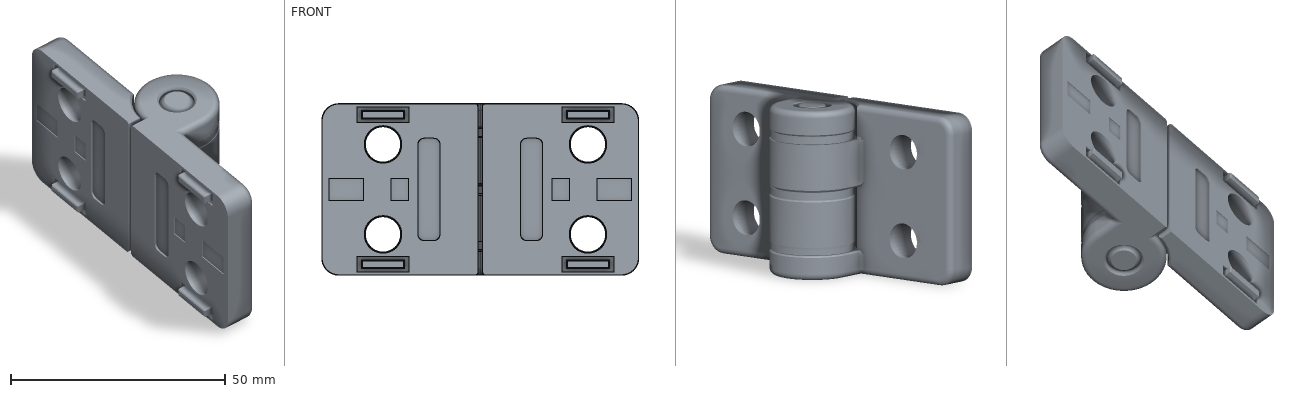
import cadquery as cq
import math

LENGTH = 74.0
HEIGHT = 40.0
HALF_HEIGHT = HEIGHT / 2

PLATE_THICKNESS = 8.0
LEAF_GAP = 1.0
PLATE_CORNER_RADIUS = 4.0
EDGE_ROUND = 1.5
GAP_CORNER_CHAMFER = 0.45

KNUCKLE_RADIUS = 10.0
MOUNT_Y = -14.0
BACK_Y = MOUNT_Y + PLATE_THICKNESS
KNUCKLE_LENGTH = 11.2
KNUCKLE_GAP = 2.0
KNUCKLE_CHAMFER = 0.4
WALL_FILLET = 0.95
END_FOOT_CHAMFER = 0.5
RECESS_RADIUS = 10.5
RECESS_CHAMFER = 0.5

PIN_RADIUS = 4.0
PIN_END_CHAMFER = 1.0
BORE_RADIUS = 4.15
BORE_CHAMFER = 0.5
WASHER_RADIUS = 9.8
WASHER_THICKNESS = 1.85

LEFT_FIXING_DISTANCE = 22.7
RIGHT_FIXING_DISTANCE = 25.15
HOLE_Z = 10.5
HOLE_FRONT_RADIUS = 4.4
HOLE_BACK_RADIUS = 4.15
TAB_Z = 17.5
TAB_LENGTH = 10.1
TAB_WIDTH = 1.9
TAB_HEIGHT = 1.55
TAB_CHAMFER = 0.2
TAB_POCKET_LENGTH = 12.05
TAB_POCKET_WIDTH = 3.6
TAB_POCKET_DEPTH = 1.0

SLOT_X = 12.0
SLOT_WIDTH = 5.2
SLOT_LENGTH = 23.9
SLOT_CORNER_RADIUS = 1.5
SLOT_DEPTH = 0.5
WINDOW_HEIGHT = 5.2
WINDOW_DEPTH = 0.2
SMALL_WINDOW_X = 18.8
SMALL_WINDOW_WIDTH = 4.1
LARGE_WINDOW_X = 31.3
LARGE_WINDOW_WIDTH = 8.1

MIDDLE_KNUCKLE_TOP = -KNUCKLE_GAP / 2
MIDDLE_KNUCKLE_BOTTOM = MIDDLE_KNUCKLE_TOP - KNUCKLE_LENGTH
END_KNUCKLE_BOTTOM = -MIDDLE_KNUCKLE_BOTTOM + KNUCKLE_GAP

PICK_MARGIN = 0.1


def cylinder(radius, bottom, top):
    """Cylinder on the hinge axis."""
    return cq.Workplane("XY").workplane(offset=bottom).circle(radius).extrude(top - bottom)


def mount_block(x, z, width, height, y_start, y_end):
    """Rectangular block centred at (x, z) that spans y_start to y_end."""
    depth = y_end - y_start
    return cq.Workplane("XY").box(width, depth, height).translate((x, y_start + depth / 2, z))


def plate():
    """Plate of the right leaf with its rounded edges."""
    inner_x = LEAF_GAP / 2
    width = LENGTH / 2 - inner_x
    body = mount_block(inner_x + width / 2, 0, width, HEIGHT, MOUNT_Y, BACK_Y)
    body = body.edges("|Y and >X").fillet(PLATE_CORNER_RADIUS)
    body = body.edges("|Y and <X").chamfer(GAP_CORNER_CHAMFER)
    past_gap_x = inner_x + 2 * GAP_CORNER_CHAMFER
    outer_side = cq.selectors.BoxSelector(
        (past_gap_x, BACK_Y - PICK_MARGIN, -HEIGHT),
        (LENGTH, BACK_Y + PICK_MARGIN, HEIGHT),
    )
    return body.edges(outer_side).fillet(EDGE_ROUND)


def knuckle(bottom, top):
    """Barrel with one flat side wall that runs down into the plate."""
    arc_middle = KNUCKLE_RADIUS / math.sqrt(2)
    return (
        cq.Workplane("XY")
        .workplane(offset=bottom)
        .moveTo(KNUCKLE_RADIUS, 0)
        .threePointArc((-arc_middle, arc_middle), (0, -KNUCKLE_RADIUS))
        .lineTo(KNUCKLE_RADIUS, -KNUCKLE_RADIUS)
        .close()
        .extrude(top - bottom)
    )


def cone(lower_radius, upper_radius, bottom, top):
    """Cone frustum on the hinge axis."""
    lower_circle = cq.Workplane("XY").workplane(offset=bottom).circle(lower_radius)
    return lower_circle.workplane(offset=top - bottom).circle(upper_radius).loft(ruled=True)


def knuckle_recesses():
    """Clearance for the knuckles of the other leaf and the washers, flared at the open bottom end."""
    middle_recess = cylinder(RECESS_RADIUS, MIDDLE_KNUCKLE_TOP, END_KNUCKLE_BOTTOM)
    end_recess = cylinder(RECESS_RADIUS, -HALF_HEIGHT, MIDDLE_KNUCKLE_BOTTOM)
    flare_radius = RECESS_RADIUS + RECESS_CHAMFER
    flare = cone(flare_radius, RECESS_RADIUS, -HALF_HEIGHT, -HALF_HEIGHT + RECESS_CHAMFER)
    return middle_recess.union(end_recess.union(flare))


def with_knuckles(body):
    """Add both knuckles and the fillets and foot where they meet the plate."""
    end_knuckle = knuckle(END_KNUCKLE_BOTTOM, HALF_HEIGHT)
    end_knuckle = end_knuckle.faces(">Z").edges().fillet(EDGE_ROUND)
    end_knuckle = end_knuckle.faces("<Z").edges().chamfer(KNUCKLE_CHAMFER)
    middle_knuckle = knuckle(MIDDLE_KNUCKLE_BOTTOM, MIDDLE_KNUCKLE_TOP)
    middle_knuckle = middle_knuckle.faces(">Z").edges().chamfer(KNUCKLE_CHAMFER)
    body = body.union(end_knuckle).union(middle_knuckle)
    wall_foot = cq.selectors.BoxSelector(
        (KNUCKLE_RADIUS - PICK_MARGIN, BACK_Y - PICK_MARGIN, -HEIGHT),
        (KNUCKLE_RADIUS + PICK_MARGIN, BACK_Y + PICK_MARGIN, HEIGHT),
    )
    body = body.edges(wall_foot).edges("|Z").fillet(WALL_FILLET)
    return body.union(end_foot_wedge())


def pin_bore():
    """Bore for the pin, countersunk at the outer end of the end knuckle."""
    bore = cylinder(BORE_RADIUS, -HALF_HEIGHT, HALF_HEIGHT)
    mouth_radius = BORE_RADIUS + BORE_CHAMFER
    return bore.union(cone(BORE_RADIUS, mouth_radius, HALF_HEIGHT - BORE_CHAMFER, HALF_HEIGHT))


def end_foot_wedge():
    """Sloped foot where the lower end face of the middle knuckle meets the back of the plate."""
    wedge = (
        cq.Workplane("YZ")
        .moveTo(BACK_Y, MIDDLE_KNUCKLE_BOTTOM)
        .lineTo(BACK_Y + END_FOOT_CHAMFER, MIDDLE_KNUCKLE_BOTTOM)
        .lineTo(BACK_Y, MIDDLE_KNUCKLE_BOTTOM - END_FOOT_CHAMFER)
        .close()
        .extrude(KNUCKLE_RADIUS)
    )
    return wedge.cut(cylinder(RECESS_RADIUS, -HALF_HEIGHT, MIDDLE_KNUCKLE_BOTTOM))


def screw_hole(x, z):
    """Through hole that tapers slightly toward the back of the plate."""
    return (
        cq.Workplane("XZ", origin=(x, MOUNT_Y, z))
        .circle(HOLE_FRONT_RADIUS)
        .workplane(offset=-PLATE_THICKNESS)
        .circle(HOLE_BACK_RADIUS)
        .loft(ruled=True)
    )


def tab(x, z):
    """Locating tab that stands on the floor of its pocket."""
    block = mount_block(x, z, TAB_LENGTH, TAB_WIDTH, MOUNT_Y - TAB_HEIGHT, MOUNT_Y + TAB_POCKET_DEPTH)
    return block.faces("<Y").edges().chamfer(TAB_CHAMFER)


def leaf(fixing_distance):
    """Right-hand leaf with its fixing column at the given distance from the hinge axis."""
    body = with_knuckles(plate().cut(knuckle_recesses())).cut(pin_bore())
    slot = mount_block(SLOT_X, 0, SLOT_WIDTH, SLOT_LENGTH, MOUNT_Y, MOUNT_Y + SLOT_DEPTH)
    body = body.cut(slot.edges("|Y").fillet(SLOT_CORNER_RADIUS))
    for x, width in ((SMALL_WINDOW_X, SMALL_WINDOW_WIDTH), (LARGE_WINDOW_X, LARGE_WINDOW_WIDTH)):
        body = body.cut(mount_block(x, 0, width, WINDOW_HEIGHT, MOUNT_Y, MOUNT_Y + WINDOW_DEPTH))
    for side in (-1, 1):
        body = body.cut(screw_hole(fixing_distance, side * HOLE_Z))
        tab_z = side * TAB_Z
        pocket = mount_block(
            fixing_distance, tab_z, TAB_POCKET_LENGTH, TAB_POCKET_WIDTH, MOUNT_Y, MOUNT_Y + TAB_POCKET_DEPTH
        )
        body = body.cut(pocket).union(tab(fixing_distance, tab_z))
    return body


def hinge_pin():
    """Round pin with chamfered ends, flush with both ends of the hinge."""
    return cylinder(PIN_RADIUS, -HALF_HEIGHT, HALF_HEIGHT).faces("<Z or >Z").edges().chamfer(PIN_END_CHAMFER)


def washer(bottom):
    """Washer that fits closely round the pin and fills most of the gap between two knuckles."""
    return cylinder(WASHER_RADIUS, bottom, bottom + WASHER_THICKNESS).cut(
        cylinder(PIN_RADIUS, bottom, bottom + WASHER_THICKNESS)
    )


right_leaf = leaf(RIGHT_FIXING_DISTANCE)
left_leaf = leaf(LEFT_FIXING_DISTANCE).rotate((0, 0, 0), (0, 1, 0), 180)
pin = hinge_pin()

washer_bottoms = (
    END_KNUCKLE_BOTTOM - WASHER_THICKNESS,
    MIDDLE_KNUCKLE_TOP,
    MIDDLE_KNUCKLE_BOTTOM - WASHER_THICKNESS,
)
washers = [washer(bottom) for bottom in washer_bottoms]

result = cq.Compound.makeCompound(
    [right_leaf.val(), left_leaf.val(), pin.val()] + [ring.val() for ring in washers]
)